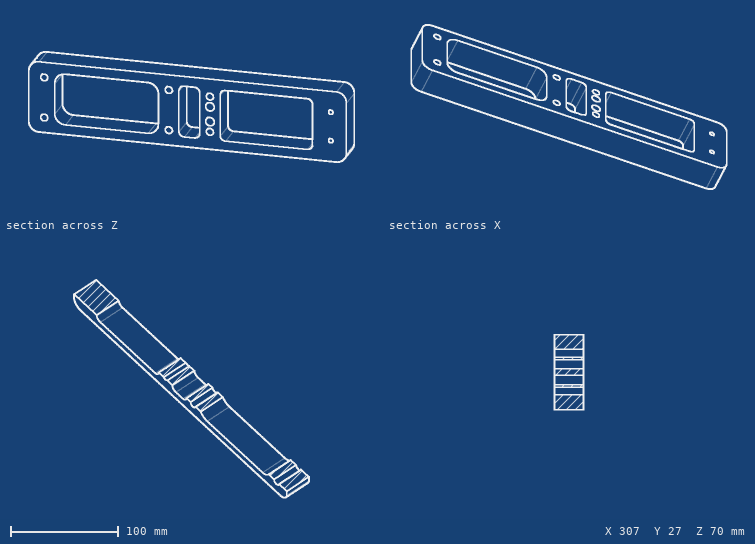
import cadquery as cq

length = 307.0
thickness = 27.0
height = 70.0
corner_radius = 9.8

rail = 9.8
window_height = height - 2 * rail
web = 20.0

large_window_left = -128.3
large_window_width = 100.0
large_window_radius = 10.0

slot_left = large_window_left + large_window_width + web
slot_width = 20.0
end_window_left = slot_left + slot_width + web
end_window_width = 89.0
small_window_radius = 5.0

mount_diameter = 6.8
mount_pitch_x = 120.3
mount_pitch_z = 40.0
mount_center_x = large_window_left + large_window_width / 2

column_x = end_window_left - web / 2
column_outer_diameter = 6.8
column_outer_pitch = 35.0
column_inner_diameter = 8.3
column_inner_pitch = 14.7

end_hole_diameter = 4.3
end_hole_x = 138.5
end_hole_pitch = 28.2


def rounded_block(left, width, block_height, radius):
    """Block through the full thickness with its Y-direction edges rounded."""
    return (
        cq.Workplane("XY")
        .box(width, thickness, block_height)
        .edges("|Y")
        .fillet(radius)
        .translate((left + width / 2, 0, 0))
    )


def hole_pair(x, pitch, diameter):
    """Two holes along Y, placed symmetrically above and below mid-height."""
    return (
        cq.Workplane("XZ")
        .pushPoints([(x, -pitch / 2), (x, pitch / 2)])
        .circle(diameter / 2)
        .extrude(thickness / 2, both=True)
    )


result = rounded_block(-length / 2, length, height, corner_radius)

for left, width, radius in (
    (large_window_left, large_window_width, large_window_radius),
    (slot_left, slot_width, small_window_radius),
    (end_window_left, end_window_width, small_window_radius),
):
    result = result.cut(rounded_block(left, width, window_height, radius))

for x, pitch, diameter in (
    (mount_center_x - mount_pitch_x / 2, mount_pitch_z, mount_diameter),
    (mount_center_x + mount_pitch_x / 2, mount_pitch_z, mount_diameter),
    (column_x, column_outer_pitch, column_outer_diameter),
    (column_x, column_inner_pitch, column_inner_diameter),
    (end_hole_x, end_hole_pitch, end_hole_diameter),
):
    result = result.cut(hole_pair(x, pitch, diameter))